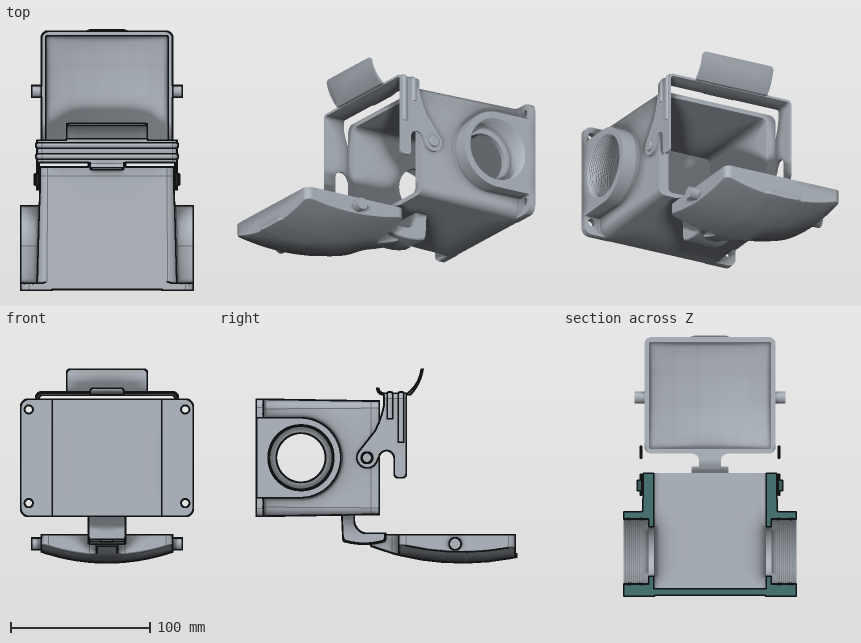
import cadquery as cq
import math


SELECT_MARGIN = 0.4

PLATE_HALF_X = 62.0
PLATE_HALF_Z = 42.2
PLATE_THICK = 5.0
PLATE_CORNER_R = 5.8
PLATE_HOLE_D = 5.8
PLATE_HOLE_X = 56.2
PLATE_HOLE_TOP_Z = 34.7
PLATE_HOLE_BOTTOM_Z = -32.6
RELIEF_HALF_X = 39.4
RELIEF_DEPTH = 0.5

RIM_HALF_X = 48.0
RIM_HALF_Z = 40.9
BASE_HALF_X = 50.2
BASE_CORNER_R = 7.0
BASE_FILLET = 1.3
HOUSING_LENGTH = 88.7
BAND_START_Y = 82.5
RIM_CORNER_R = 5.0
CAVITY_HALF_X = 40.3
CAVITY_HALF_Z = 37.5
CAVITY_FLOOR_Y = 5.6
CAVITY_CORNER_R = 3.7

BOSS_R = 28.7
OVERALL_WIDTH = 124.3
BOSS_FACE_X = OVERALL_WIDTH / 2
BOSS_CENTER_Y = 32.2
BOSS_START_Y = RELIEF_DEPTH
BOSS_FILLET = 1.0
THREAD_MINOR_R = 22.7
THREAD_MAJOR_R = 23.6
THREAD_PITCH = 1.5
THREAD_TURNS = 12
ENTRY_HOLE_R = 17.6

ARM_HALF_X = 13.3
ARM_BACK_Y = 61.5
ARM_FRONT_Y = 70.7
ARM_TIP_Y = 93.2
ARM_TOP_Z = -54.2
ARM_ROOT_Z = -39.7
ARM_TIP_BOTTOM_Z = -58.7
ARM_HEEL = (62.5, -58.7)
ARM_HEEL_BEVEL_END = (63.0, -60.0)
ARM_BELLY = (77.8, -62.2)
ARM_BELLY_END = (91.9, -60.2)
ARM_INNER_BEND_START_Y = 78.2
ARM_INNER_BEND_MID = (72.5, -50.6)
ARM_INNER_BEND_END_Z = -44.0
ARM_CHAMFER = 0.7
ARM_NOTCH_HALF_X = 4.5
ARM_NOTCH_DEPTH = 2.6
ARM_NOTCH_Y = 64.7
ARM_NOTCH_TOP_Z = -59.0

COVER_HALF_X = 47.2
COVER_NEAR_Y = 102.5
COVER_FAR_Y = 186.4
COVER_RIM_Z = -55.3
COVER_CORNER_R = 5.0
COVER_WALL = 3.4
COVER_INNER_R = 1.3
DOME_BOTTOM_Z = -75.5
DOME_CENTER_Y = 148.1
DOME_RADIUS_Y = 187.5
DOME_RADIUS_X = 144.4
DOME_HALF_X = 56.2
DOME_EDGE_FILLET = 0.7
LIP_END_Y = 187.5
LIP_HALF_X = 14.0
LIP_THICK = 1.9
LIP_CORNER = 1.0
LIP_CORNER_RUN = 2.8
TAB_HALF_X = 7.9
TAB_END_Y = 82.5
TAB_FILLET = 5.0
COVER_PIN_R = 4.3
COVER_PIN_END_X = 54.2
COVER_PIN_Y = 143.0
COVER_PIN_Z = -61.9

LEVER_HALF_X = 50.5
LEVER_SHEET = 1.7
LEVER_TOP_Z = 46.5
LEVER_BEND_R = 3.5
LEVER_FAR_Y = 108.0
LEVER_NEAR_Y = 91.9
PIVOT_Y = 79.7
PIVOT_BOSS_R = 7.3
PIVOT_HEAD_R = 4.1
PIVOT_HEAD_END_X = 52.3
PIVOT_HEAD_CHAMFER = 0.5
PRONG_INNER_Y = 99.2
PRONG_BOTTOM_Z = -14.5
PRONG_FILLET = 3.0
WAIST_START_Z = 37.5
WAIST_MID = (89.2, 28.0)
WAIST_END = (85.7, 19.5)
EYE_START = (73.9, 4.5)
EYE_MID = (76.0, -6.2)
EYE_END = (86.6, -3.0)
NOTCH_START = (89.0, 2.2)
NOTCH_TOP = (94.1, 5.0)
RIB_WIDTH = 4.0
RIB_HEIGHT = 1.0
RIBS = ((104.2, 11.2), (96.2, 28.1))
HANDLE_SHEET = 1.3
HANDLE_HALF_X = 29.0
HANDLE_CORNER_R = 2.8
HANDLE_ROOT_FILLET = 1.0
HANDLE_TIP_Y = 120.0
HANDLE_TIP_Z = 63.7
HANDLE_OUTER_START_Y = 110.8
HANDLE_OUTER_MID = (116.8, 53.6)
HANDLE_INNER_START_Y = 109.1
HANDLE_INNER_MID = (115.7, 54.2)
CLIP_HALF_X = 12.2
CLIP_TIP_Z = 49.9
CLIP_TIP_Y = 86.8
CLIP_START_Y = 91.3
CLIP_OUTER_MID = (88.1, 46.7)
CLIP_INNER_MID = (89.0, 47.6)
CLIP_CHAMFER = 1.3


def rounded_box(half_x, y_start, y_end, half_z, corner_r):
    """Box along Y with its four long edges rounded."""
    return (
        cq.Workplane("XZ", origin=(0, y_start, 0))
        .rect(2 * half_x, 2 * half_z)
        .extrude(y_start - y_end)
        .edges("|Y")
        .fillet(corner_r)
    )


def upright_box(half_x, y_start, y_end, z_bottom, z_top):
    return cq.Workplane("XY").box(
        2 * half_x, y_end - y_start, z_top - z_bottom, centered=(True, False, False)
    ).translate((0, y_start, z_bottom))


def x_cylinder(radius, x_start, x_end, y, z):
    return cq.Workplane("YZ", origin=(x_start, y, z)).circle(radius).extrude(x_end - x_start)


def mirrored_pair(shape):
    """The shape together with its mirror image across the middle plane X = 0."""
    return shape.union(shape.mirror("YZ"))


def tapered_block(base_half_x, base_corner_r, rim_half_x, rim_corner_r):
    """Block that narrows from the back face (Y = 0) to the start of the rim band."""
    base = cq.Sketch().rect(2 * base_half_x, 2 * PLATE_HALF_Z).vertices().fillet(base_corner_r)
    rim = cq.Sketch().rect(2 * rim_half_x, 2 * RIM_HALF_Z).vertices().fillet(rim_corner_r)
    rim = rim.moved(cq.Location(cq.Vector(0, 0, -BAND_START_Y)))
    return cq.Workplane("XZ").placeSketch(base, rim).loft()


def mounting_plate():
    """Flange whose long edges share the draft of the housing walls."""
    block = tapered_block(PLATE_HALF_X, PLATE_CORNER_R, PLATE_HALF_X, PLATE_CORNER_R)
    slab = upright_box(PLATE_HALF_X, 0, PLATE_THICK, -PLATE_HALF_Z, PLATE_HALF_Z)
    return block.intersect(slab)


def housing_walls():
    """Tapered walls up to a straight band at the open rim."""
    taper = tapered_block(BASE_HALF_X, BASE_CORNER_R, RIM_HALF_X, RIM_CORNER_R)
    band = rounded_box(RIM_HALF_X, BAND_START_Y, HOUSING_LENGTH, RIM_HALF_Z, RIM_CORNER_R)
    return taper.union(band)


def entry_boss():
    """Round-nosed block for the cable entry on the +X side."""
    length = BOSS_FACE_X - CAVITY_HALF_X
    nose = x_cylinder(BOSS_R, CAVITY_HALF_X, BOSS_FACE_X, BOSS_CENTER_Y, 0)
    foot = cq.Workplane("XY").box(
        length, BOSS_CENTER_Y - BOSS_START_Y, 2 * BOSS_R, centered=(False, False, True)
    ).translate((CAVITY_HALF_X, BOSS_START_Y, 0))
    return nose.union(foot)


def entry_bore():
    """Threaded bore (ring grooves) and the smaller hole into the cavity, on the +X side."""
    shoulder_x = BOSS_FACE_X - THREAD_TURNS * THREAD_PITCH
    hole = x_cylinder(ENTRY_HOLE_R, 0, shoulder_x, BOSS_CENTER_Y, 0)
    outline = cq.Workplane("XY").moveTo(BOSS_FACE_X, 0).lineTo(BOSS_FACE_X, THREAD_MAJOR_R)
    for turn in range(THREAD_TURNS):
        groove_x = BOSS_FACE_X - turn * THREAD_PITCH
        outline = outline.lineTo(groove_x - THREAD_PITCH / 2, THREAD_MINOR_R)
        outline = outline.lineTo(groove_x - THREAD_PITCH, THREAD_MAJOR_R)
    thread = (
        outline.lineTo(shoulder_x, 0)
        .close()
        .revolve(360, (0, 0, 0), (1, 0, 0))
        .translate((0, BOSS_CENTER_Y, 0))
    )
    return thread.union(hole)


def plate_holes():
    points = [
        (side * PLATE_HOLE_X, z)
        for side in (-1, 1)
        for z in (PLATE_HOLE_TOP_Z, PLATE_HOLE_BOTTOM_Z)
    ]
    return cq.Workplane("XZ").pushPoints(points).circle(PLATE_HOLE_D / 2).extrude(-PLATE_THICK)


def housing_shell():
    shell = mounting_plate().union(housing_walls())
    wall_foot = cq.selectors.BoxSelector(
        (-BASE_HALF_X - SELECT_MARGIN, PLATE_THICK - SELECT_MARGIN, SELECT_MARGIN - PLATE_HALF_Z),
        (BASE_HALF_X + SELECT_MARGIN, PLATE_THICK + SELECT_MARGIN, PLATE_HALF_Z - SELECT_MARGIN),
    )
    shell = shell.edges(wall_foot).fillet(BASE_FILLET)
    shell = shell.union(mirrored_pair(entry_boss()))
    for side in (-1, 1):
        wall_x = sorted((side * (RIM_HALF_X - SELECT_MARGIN), side * (BASE_HALF_X + SELECT_MARGIN)))
        boss_foot = cq.selectors.BoxSelector(
            (wall_x[0], PLATE_THICK + BASE_FILLET, -BOSS_R - SELECT_MARGIN),
            (wall_x[1], BOSS_CENTER_Y + BOSS_R, BOSS_R + SELECT_MARGIN),
        )
        shell = shell.edges(boss_foot).fillet(BOSS_FILLET)
    relief = upright_box(RELIEF_HALF_X, 0, RELIEF_DEPTH, -PLATE_HALF_Z, PLATE_HALF_Z)
    cavity = rounded_box(CAVITY_HALF_X, CAVITY_FLOOR_Y, HOUSING_LENGTH, CAVITY_HALF_Z, CAVITY_CORNER_R)
    return shell.cut(relief).cut(cavity).cut(mirrored_pair(entry_bore())).cut(plate_holes())


def hinge_arm():
    """Curved bracket from the underside of the housing to the cover tab."""
    arm = (
        cq.Workplane("YZ", origin=(-ARM_HALF_X, 0, 0))
        .moveTo(ARM_BACK_Y, ARM_ROOT_Z)
        .lineTo(*ARM_HEEL)
        .lineTo(*ARM_HEEL_BEVEL_END)
        .threePointArc(ARM_BELLY, ARM_BELLY_END)
        .lineTo(ARM_TIP_Y, ARM_TIP_BOTTOM_Z)
        .lineTo(ARM_TIP_Y, ARM_TOP_Z)
        .lineTo(ARM_INNER_BEND_START_Y, ARM_TOP_Z)
        .threePointArc(ARM_INNER_BEND_MID, (ARM_FRONT_Y, ARM_INNER_BEND_END_Z))
        .lineTo(ARM_FRONT_Y, ARM_ROOT_Z)
        .close()
        .extrude(2 * ARM_HALF_X)
    )
    outer_edges = cq.selectors.BoxSelector(
        (-2 * ARM_HALF_X, ARM_BACK_Y - ARM_CHAMFER, DOME_BOTTOM_Z),
        (2 * ARM_HALF_X, ARM_TIP_Y + ARM_CHAMFER, ARM_TOP_Z - ARM_CHAMFER),
    )
    arm = arm.faces("<X or >X").edges(outer_edges).chamfer(ARM_CHAMFER)
    notch = upright_box(
        ARM_NOTCH_HALF_X, ARM_NOTCH_Y - ARM_NOTCH_DEPTH, ARM_NOTCH_Y, DOME_BOTTOM_Z, ARM_NOTCH_TOP_Z
    )
    return arm.cut(notch)


def dome(inset):
    """Everything above the double-curved underside of the cover, raised by the inset."""
    radius_x = DOME_RADIUS_X - inset
    bottom_z = DOME_BOTTOM_Z + inset
    edge_z = bottom_z + radius_x - math.sqrt(radius_x**2 - DOME_HALF_X**2)
    axis_z = DOME_BOTTOM_Z + DOME_RADIUS_Y
    return (
        cq.Workplane("XZ", origin=(0, DOME_CENTER_Y, 0))
        .moveTo(-DOME_HALF_X, COVER_RIM_Z)
        .lineTo(-DOME_HALF_X, edge_z)
        .threePointArc((0, bottom_z), (DOME_HALF_X, edge_z))
        .lineTo(DOME_HALF_X, COVER_RIM_Z)
        .lineTo(DOME_HALF_X, axis_z - DOME_RADIUS_Y / 2)
        .lineTo(-DOME_HALF_X, axis_z - DOME_RADIUS_Y / 2)
        .close()
        .revolve(360, (0, axis_z, 0), (1, axis_z, 0))
    )


def cover_tray():
    outer = upright_box(COVER_HALF_X, COVER_NEAR_Y, COVER_FAR_Y, DOME_BOTTOM_Z, COVER_RIM_Z)
    tab = upright_box(TAB_HALF_X, TAB_END_Y, COVER_NEAR_Y, DOME_BOTTOM_Z, COVER_RIM_Z)
    outer = outer.edges("|Z").fillet(COVER_CORNER_R).union(tab)
    inner_corners = cq.selectors.BoxSelector(
        (-TAB_HALF_X - SELECT_MARGIN, COVER_NEAR_Y - SELECT_MARGIN, DOME_BOTTOM_Z),
        (TAB_HALF_X + SELECT_MARGIN, COVER_NEAR_Y + SELECT_MARGIN, COVER_RIM_Z),
    )
    outer = outer.edges("|Z").edges(inner_corners).fillet(TAB_FILLET)
    outer = outer.intersect(dome(0)).faces("<Z").edges().fillet(DOME_EDGE_FILLET)
    inner = upright_box(
        COVER_HALF_X - COVER_WALL,
        COVER_NEAR_Y + COVER_WALL,
        COVER_FAR_Y - COVER_WALL,
        DOME_BOTTOM_Z,
        COVER_RIM_Z,
    )
    inner = inner.edges("|Z").fillet(COVER_INNER_R).intersect(dome(COVER_WALL))
    return outer.cut(inner)


def cover_lip():
    """Low lip that carries the underside of the cover slightly past its far wall."""
    strip = upright_box(
        LIP_HALF_X, COVER_FAR_Y - COVER_WALL / 2, LIP_END_Y, DOME_BOTTOM_Z, COVER_RIM_Z
    )
    strip = strip.edges("|Z and >Y").chamfer(LIP_CORNER, LIP_CORNER_RUN)
    return strip.intersect(dome(0)).cut(dome(LIP_THICK))


def cover():
    pins = x_cylinder(
        COVER_PIN_R, COVER_HALF_X - COVER_WALL / 2, COVER_PIN_END_X, COVER_PIN_Y, COVER_PIN_Z
    )
    return cover_tray().union(cover_lip()).union(mirrored_pair(pins))


def lever_side_profile():
    """Outline of the lever cheeks, extruded across the full width."""
    sheet = (
        cq.Workplane("YZ", origin=(-LEVER_HALF_X, 0, 0))
        .moveTo(LEVER_FAR_Y, LEVER_TOP_Z)
        .lineTo(LEVER_NEAR_Y, LEVER_TOP_Z)
        .lineTo(LEVER_NEAR_Y, WAIST_START_Z)
        .threePointArc(WAIST_MID, WAIST_END)
        .lineTo(*EYE_START)
        .threePointArc(EYE_MID, EYE_END)
        .lineTo(*NOTCH_START)
        .threePointArc(NOTCH_TOP, (PRONG_INNER_Y, 0))
        .lineTo(PRONG_INNER_Y, PRONG_BOTTOM_Z)
        .lineTo(LEVER_FAR_Y, PRONG_BOTTOM_Z)
        .close()
        .extrude(2 * LEVER_HALF_X)
    )
    return sheet.edges("|X and <Z").fillet(PRONG_FILLET)


def lever_channel():
    """Bent U-shaped sheet: two cheeks joined by the top bridge."""
    outer = upright_box(LEVER_HALF_X, PIVOT_Y - PIVOT_BOSS_R, LEVER_FAR_Y, PRONG_BOTTOM_Z, LEVER_TOP_Z)
    outer = outer.edges("|Y and >Z").fillet(LEVER_BEND_R)
    inner = upright_box(
        LEVER_HALF_X - LEVER_SHEET,
        PIVOT_Y - PIVOT_BOSS_R,
        LEVER_FAR_Y,
        PRONG_BOTTOM_Z,
        LEVER_TOP_Z - LEVER_SHEET,
    )
    inner = inner.edges("|Y and >Z").fillet(LEVER_BEND_R - LEVER_SHEET)
    return outer.cut(inner).intersect(lever_side_profile())


def lever_rib(y, end_z):
    """Round-topped bead that runs up one cheek, over the bridge and down the other."""
    bend_z = LEVER_TOP_Z - LEVER_BEND_R
    bend_x = LEVER_HALF_X - LEVER_BEND_R
    diagonal = LEVER_BEND_R * math.sqrt(0.5)
    path = (
        cq.Workplane("XZ", origin=(0, y, 0))
        .moveTo(-LEVER_HALF_X, end_z)
        .lineTo(-LEVER_HALF_X, bend_z)
        .threePointArc((-bend_x - diagonal, bend_z + diagonal), (-bend_x, LEVER_TOP_Z))
        .lineTo(bend_x, LEVER_TOP_Z)
        .threePointArc((bend_x + diagonal, bend_z + diagonal), (LEVER_HALF_X, bend_z))
        .lineTo(LEVER_HALF_X, end_z)
    )
    root_x = -LEVER_HALF_X + LEVER_SHEET / 2
    return (
        cq.Workplane("XY", origin=(0, y, end_z))
        .moveTo(root_x, -RIB_WIDTH / 2)
        .lineTo(-LEVER_HALF_X, -RIB_WIDTH / 2)
        .threePointArc((-LEVER_HALF_X - RIB_HEIGHT, 0), (-LEVER_HALF_X, RIB_WIDTH / 2))
        .lineTo(root_x, RIB_WIDTH / 2)
        .close()
        .sweep(path)
    )


def lever_handle():
    """Curved finger grip rising from the far edge of the bridge."""
    grip = (
        cq.Workplane("YZ", origin=(-HANDLE_HALF_X, 0, 0))
        .moveTo(LEVER_FAR_Y, LEVER_TOP_Z - HANDLE_SHEET)
        .lineTo(HANDLE_OUTER_START_Y, LEVER_TOP_Z - HANDLE_SHEET)
        .threePointArc(HANDLE_OUTER_MID, (HANDLE_TIP_Y, HANDLE_TIP_Z))
        .lineTo(HANDLE_TIP_Y - HANDLE_SHEET, HANDLE_TIP_Z)
        .threePointArc(HANDLE_INNER_MID, (HANDLE_INNER_START_Y, LEVER_TOP_Z))
        .lineTo(LEVER_FAR_Y, LEVER_TOP_Z)
        .close()
        .extrude(2 * HANDLE_HALF_X)
    )
    outline = (
        cq.Workplane("XZ", origin=(0, LEVER_FAR_Y, 0))
        .rect(2 * HANDLE_HALF_X, 2 * HANDLE_TIP_Z)
        .extrude(LEVER_FAR_Y - HANDLE_TIP_Y)
        .edges("|Y and >Z")
        .fillet(HANDLE_CORNER_R)
    )
    return grip.intersect(outline)


def lever_clip():
    """Small upturned catch at the near edge of the bridge."""
    tongue = (
        cq.Workplane("YZ", origin=(-CLIP_HALF_X, 0, 0))
        .moveTo(LEVER_NEAR_Y, LEVER_TOP_Z - HANDLE_SHEET)
        .lineTo(CLIP_START_Y, LEVER_TOP_Z - HANDLE_SHEET)
        .threePointArc(CLIP_OUTER_MID, (CLIP_TIP_Y, CLIP_TIP_Z))
        .lineTo(CLIP_TIP_Y + HANDLE_SHEET, CLIP_TIP_Z)
        .threePointArc(CLIP_INNER_MID, (CLIP_START_Y, LEVER_TOP_Z))
        .lineTo(LEVER_NEAR_Y, LEVER_TOP_Z)
        .close()
        .extrude(2 * CLIP_HALF_X)
    )
    outline = (
        cq.Workplane("XZ", origin=(0, LEVER_NEAR_Y, 0))
        .rect(2 * CLIP_HALF_X, 2 * CLIP_TIP_Z)
        .extrude(LEVER_NEAR_Y - CLIP_TIP_Y)
        .edges("|Y and >Z")
        .chamfer(CLIP_CHAMFER)
    )
    return tongue.intersect(outline)


def pivot_head():
    head = x_cylinder(PIVOT_HEAD_R, LEVER_HALF_X, PIVOT_HEAD_END_X, PIVOT_Y, 0)
    return head.faces(">X").chamfer(PIVOT_HEAD_CHAMFER)


def locking_lever():
    lever = lever_channel().union(lever_handle()).union(lever_clip())
    handle_root = cq.selectors.BoxSelector(
        (-HANDLE_HALF_X - SELECT_MARGIN, LEVER_FAR_Y - SELECT_MARGIN, 0),
        (HANDLE_HALF_X + SELECT_MARGIN, LEVER_FAR_Y + SELECT_MARGIN, HANDLE_TIP_Z),
    )
    lever = lever.edges("|Z").edges(handle_root).fillet(HANDLE_ROOT_FILLET)
    for y, end_z in RIBS:
        lever = lever.union(lever_rib(y, end_z))
    return lever.union(mirrored_pair(pivot_head()))


housing_with_cover = housing_shell().union(hinge_arm()).union(cover())
lever = locking_lever()

result = cq.Compound.makeCompound([housing_with_cover.val(), lever.val()])